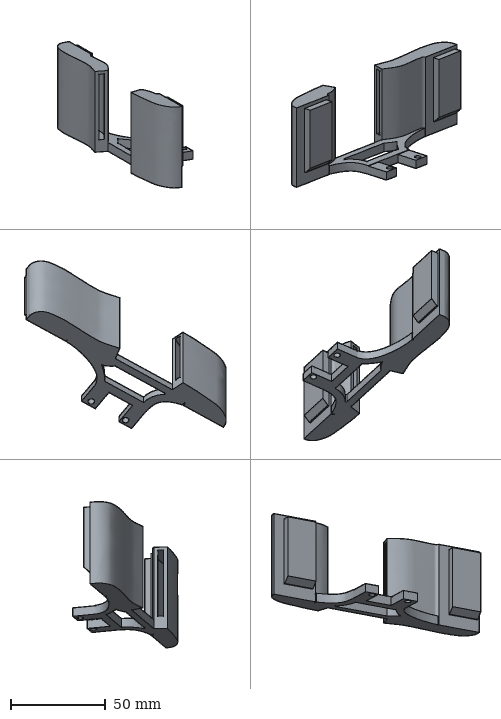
import cadquery as cq

grip_height = 44.9
frame_thickness = 4.9
ear_thickness = 4.7

ear_back_y = 27.9
frame_back_y = 15.1
frame_front_y = -5.3
grip_front_y = -12.2

total_width = 125.7
left_frame_x = 54.2
right_frame_x = 86.1

left_end_back = (53.3, frame_front_y)
left_end_front = (51.4, grip_front_y)
right_end_back = (89.6, frame_front_y)
right_end_front = (91.6, grip_front_y)

left_arm_x = 25.4
right_arm_x = 99.8

left_ear_width = 8.8
right_ear_width = 8.0
hole_diameter = 3.4
hole_y = 25.1
left_hole_x = 58.6
right_hole_x = 80.4

pad_width = 17.2
pad_depth = 4.0
pad_bottom = 6.8
pad_top = 42.9
pad_chamfer = 3.3
left_pad_x = 1.5
right_pad_x = 102.3

wall = 2.0
hollow_bottom = 6.8
hollow_top = grip_height - 1.8
hollow_height = hollow_top - hollow_bottom
mouth_back_fraction = 0.3
mouth_front_fraction = 0.7


def left_grip():
    front_curve = [
        (46.4, -11.0), (42.7, -10.3), (38.7, -9.9), (33.3, -10.0), (25.1, -10.7), (16.3, -11.2),
        (10.0, -10.8), (5.7, -9.9), (2.1, -7.7), (0.6, -5.5),
    ]
    back_curve = [(30.8, -1.3), (39.1, -0.6), (45.2, -1.4), (49.8, -3.3)]
    return (
        cq.Workplane("XY")
        .moveTo(*left_end_back)
        .lineTo(*left_end_front)
        .spline(front_curve + [(0, -3.3)], includeCurrent=True)
        .lineTo(0, 0)
        .lineTo(24.9, 0)
        .threePointArc((25.5, -0.9), (27.0, -1.3))
        .spline(back_curve + [left_end_back], includeCurrent=True)
        .close()
        .extrude(grip_height)
    )


def right_grip():
    front_curve = [
        (99.9, -11.8), (106.8, -11.0), (114.4, -10.2), (121.4, -7.3), (124.8, -3.9), (125.5, -1.5),
    ]
    return (
        cq.Workplane("XY")
        .moveTo(*right_end_back)
        .lineTo(*right_end_front)
        .spline(front_curve + [(total_width, 0)], includeCurrent=True)
        .lineTo(100.4, 0)
        .threePointArc((100.3, -1.1), (99.3, -1.9))
        .spline([(94.0, -3.0), right_end_back], includeCurrent=True)
        .close()
        .extrude(grip_height)
    )


def frame():
    left_side = [(52.2, 10.4), (45.7, 5.4), (39.1, 2.6), (30.4, 0.5)]
    right_side = [(93.1, 2.1), (90.0, 4.1), (87.9, 6.7), (86.5, 11.2)]
    outline = (
        cq.Workplane("XY")
        .moveTo(left_frame_x, frame_back_y)
        .spline(left_side + [(left_arm_x, 0)], includeCurrent=True)
        .lineTo(left_arm_x, frame_front_y)
        .lineTo(right_arm_x, frame_front_y)
        .lineTo(right_arm_x, 0)
        .spline(right_side + [(right_frame_x, frame_back_y)], includeCurrent=True)
        .close()
        .extrude(frame_thickness)
    )
    window_back_y = 10.2
    window_front_y = -1.1
    window = (
        cq.Workplane("XY")
        .moveTo(57.0, window_back_y)
        .threePointArc((53.8, 6.2), (49.6, 2.3))
        .threePointArc((53.0, 0.9), (55.9, window_front_y))
        .lineTo(87.3, window_front_y)
        .lineTo(88.0, -0.5)
        .threePointArc((83.7, 4.1), (81.8, window_back_y))
        .close()
        .extrude(frame_thickness)
    )
    return outline.cut(window)


def ear(left_x, width, hole_x):
    depth = ear_back_y - frame_back_y
    plate = (
        cq.Workplane("XY")
        .box(width, depth, ear_thickness, centered=False)
        .translate((left_x, frame_back_y, 0))
    )
    hole = (
        cq.Workplane("XY")
        .center(hole_x, hole_y)
        .circle(hole_diameter / 2)
        .extrude(ear_thickness)
    )
    return plate.cut(hole)


def pad(left_x):
    return (
        cq.Workplane("XY")
        .box(pad_width, pad_depth, pad_top - pad_bottom, centered=False)
        .faces(">Y").edges("<Z").chamfer(pad_chamfer)
        .translate((left_x, 0, pad_bottom))
    )


def along(start, end, fraction):
    """Point part of the way along a straight edge."""
    return tuple(p + fraction * (q - p) for p, q in zip(start, end))


def left_hollow():
    front_curve = [
        (47.0, -9.2), (43.2, -8.3), (38.7, -7.9), (33.3, -8.0), (25.1, -8.7),
        (16.3, -9.2), (10.5, -8.8), (6.5, -8.0), (3.8, -6.4), (2.5, -4.9),
    ]
    back_curve = [(30.9, -3.3), (39.1, -2.6), (44.9, -3.4), (48.9, -5.2)]
    mouth_back = along(left_end_back, left_end_front, mouth_back_fraction)
    mouth_front = along(left_end_back, left_end_front, mouth_front_fraction)
    return (
        cq.Workplane("XY", origin=(0, 0, hollow_bottom))
        .moveTo(*mouth_back)
        .lineTo(*mouth_front)
        .spline(front_curve + [(wall, -3.3)], includeCurrent=True)
        .lineTo(wall, -wall)
        .lineTo(23.9, -wall)
        .lineTo(26.9, -3.3)
        .spline(back_curve + [mouth_back], includeCurrent=True)
        .close()
        .extrude(hollow_height)
    )


def right_hollow():
    front_curve = [(99.8, -9.8), (106.6, -9.0), (113.7, -8.2), (120.3, -5.5), (122.7, -3.1)]
    mouth_back = along(right_end_back, right_end_front, mouth_back_fraction)
    mouth_front = along(right_end_back, right_end_front, mouth_front_fraction)
    return (
        cq.Workplane("XY", origin=(0, 0, hollow_bottom))
        .moveTo(*mouth_back)
        .lineTo(*mouth_front)
        .spline(front_curve + [(123.4, -wall)], includeCurrent=True)
        .lineTo(102.2, -wall)
        .lineTo(99.7, -3.9)
        .spline([(94.8, -4.9), mouth_back], includeCurrent=True)
        .close()
        .extrude(hollow_height)
    )


result = (
    frame()
    .union(left_grip())
    .union(right_grip())
    .union(ear(left_frame_x, left_ear_width, left_hole_x))
    .union(ear(right_frame_x - right_ear_width, right_ear_width, right_hole_x))
    .union(pad(left_pad_x))
    .union(pad(right_pad_x))
    .cut(left_hollow())
    .cut(right_hollow())
)